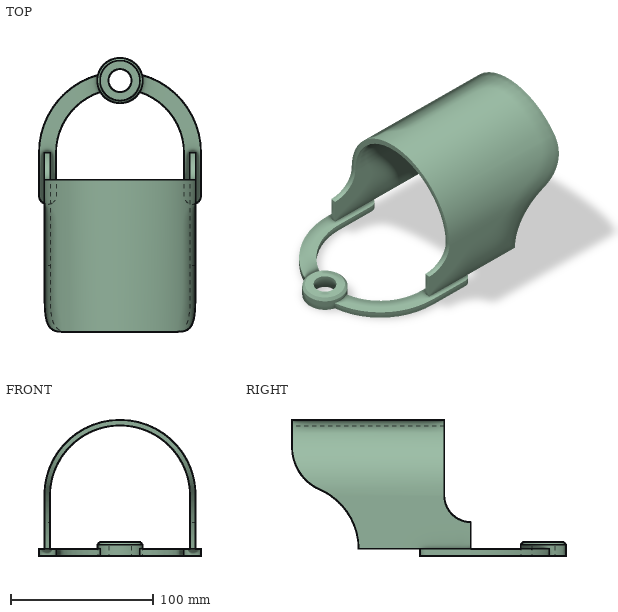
import cadquery as cq
import math

yoke_outer_radius = 57.1
yoke_band = 12.2
yoke_thickness = 5.0
leg_length = 30.0
yoke_inner_radius = yoke_outer_radius - yoke_band
yoke_mid_radius = yoke_outer_radius - yoke_band / 2

total_length = 193
rear_y = -126.0

ring_diameter = 32.0
bore_diameter = 16.0
ring_height = 10.0
ring_chamfer = 2.0
ring_y = total_length + rear_y - ring_diameter / 2

total_height = 96.0
hood_radius = 53.3
hood_wall = 4.0
hood_axis_z = total_height - hood_radius
front_cut_radius = 18.7
rear_foot_y = -79.1
rear_concave_radius = 45.5
rear_convex_radius = 33.0


def make_yoke():
    """U-shaped plate with an arched crown and fully rounded leg ends."""
    return (
        cq.Workplane("XY")
        .moveTo(yoke_outer_radius, -leg_length)
        .lineTo(yoke_outer_radius, 0)
        .threePointArc((0, yoke_outer_radius), (-yoke_outer_radius, 0))
        .lineTo(-yoke_outer_radius, -leg_length)
        .threePointArc((-yoke_mid_radius, -leg_length - yoke_band / 2), (-yoke_inner_radius, -leg_length))
        .lineTo(-yoke_inner_radius, 0)
        .threePointArc((0, yoke_inner_radius), (yoke_inner_radius, 0))
        .lineTo(yoke_inner_radius, -leg_length)
        .threePointArc((yoke_mid_radius, -leg_length - yoke_band / 2), (yoke_outer_radius, -leg_length))
        .close()
        .extrude(yoke_thickness)
    )


def make_ring():
    """Ring body with a chamfered top rim, still without its bore."""
    return (
        cq.Workplane("XY")
        .center(0, ring_y)
        .circle(ring_diameter / 2)
        .extrude(ring_height)
        .faces(">Z")
        .chamfer(ring_chamfer)
    )


def arch_prism(radius):
    """Solid arch of the given radius, running from the rear to the yoke arch centre."""
    return (
        cq.Workplane("XZ")
        .moveTo(-radius, yoke_thickness)
        .lineTo(-radius, hood_axis_z)
        .threePointArc((0, hood_axis_z + radius), (radius, hood_axis_z))
        .lineTo(radius, yoke_thickness)
        .close()
        .extrude(-rear_y)
    )


def side_profile():
    """Side outline of the hood, with tangent rear arcs, extruded across its width."""
    concave_y = rear_foot_y - rear_concave_radius
    convex_y = rear_y + rear_convex_radius
    radius_sum = rear_concave_radius + rear_convex_radius
    rise_angle = math.acos((convex_y - concave_y) / radius_sum)
    convex_z = yoke_thickness + radius_sum * math.sin(rise_angle)

    def concave_point(angle):
        return (
            concave_y + rear_concave_radius * math.cos(angle),
            yoke_thickness + rear_concave_radius * math.sin(angle),
        )

    def convex_point(angle):
        return (
            convex_y - rear_convex_radius * math.cos(angle),
            convex_z - rear_convex_radius * math.sin(angle),
        )

    diagonal = front_cut_radius * math.sqrt(0.5)
    return (
        cq.Workplane("YZ")
        .moveTo(0, yoke_thickness)
        .lineTo(0, hood_axis_z - front_cut_radius)
        .threePointArc((-diagonal, hood_axis_z - diagonal), (-front_cut_radius, hood_axis_z))
        .lineTo(-front_cut_radius, total_height)
        .lineTo(rear_y, total_height)
        .lineTo(rear_y, convex_z)
        .threePointArc(convex_point(rise_angle / 2), concave_point(rise_angle))
        .threePointArc(concave_point(rise_angle / 2), (rear_foot_y, yoke_thickness))
        .close()
        .extrude(hood_radius, both=True)
    )


def make_hood():
    shell = arch_prism(hood_radius).cut(arch_prism(hood_radius - hood_wall))
    return shell.intersect(side_profile())


bore = cq.Workplane("XY").center(0, ring_y).circle(bore_diameter / 2).extrude(ring_height)

result = make_yoke().union(make_ring()).cut(bore).union(make_hood())